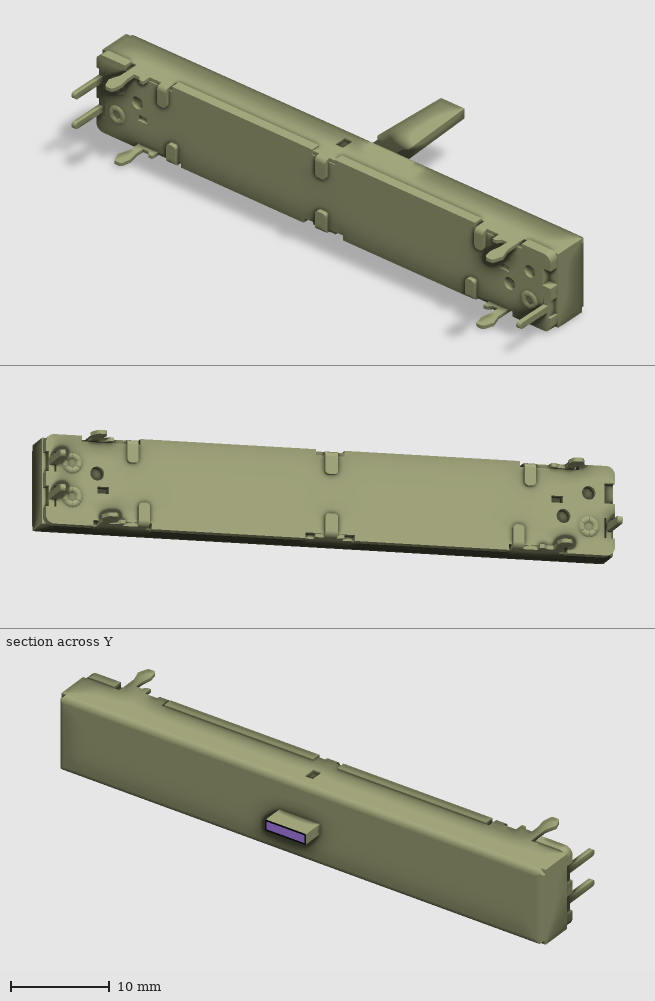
import cadquery as cq


body_length = 60.0
body_height = 8.9
body_depth = 4.5
back_edge_radius = 0.7
back_corner_cut = 0.6
sheet = 0.4
window_width = 1.0
window_back_y = -1.6
window_front_y = -3.1

board_length = 59.8
board_height = 9.3
board_thickness = 1.1
board_corner_radius = 0.9
board_front_y = -body_depth - board_thickness
wall_outer_z = body_height / 2
wall_inner_z = wall_outer_z - sheet

end_wall_start = 25.5
end_wall_length = 5.2
end_notch_start = 26.1
end_notch_end = 19.95
lower_shift = 1.2
center_wall_width = 3.0
upper_center_notch = 3.0
lower_center_notch = 5.2
wall_front_y = -5.45

end_tab_width = 1.15
center_tab_width = 1.35
tab_front_y = -6.15
tab_reach = 2.4
tab_bend_radius = 0.55
tab_tip_radius = 0.4

hook_leg_width = 0.95
hook_shoulder_width = 2.5
hook_shoulder_y = -6.5
hook_relief_y = -6.05
hook_relief_flat = 0.7
hook_relief_width = 1.1
hook_neck_y = -7.1
hook_bulge_y = -8.4
hook_bulge = 0.45
hook_inner_bulge = 0.25
hook_tip_y = -9.6
hook_tip_radius = 0.4

terminal_z = 1.8
terminal_height = 2.1
terminal_notch_inner_x = 28.8
blade_inner_x = 29.0
blade_outer_x = 29.55
pin_height = 0.74
pin_tip_y = -10.0
pin_tip_radius = 0.34
terminal_places = [(-1, 1), (-1, -1), (1, -1)]
empty_notch = (1, 1)

rivet_x = 27.15
rivet_z = 1.75
rivet_radius = 1.1
rivet_bore_radius = 0.4
rivet_rise = 0.2
petal_count = 6
petal_gap = 0.04
first_gap_angle = 30
hole_radius = 0.72
locating_hole_x = 24.5
locating_hole_z = 0.8
spare_hole_radius = 0.7
slot_x = 23.85
slot_z = 0.9
slot_width = 1.2
slot_height = 0.7

lever_tip_y = 15.0
lever_thickness = 1.2
lever_base_width = 5.0
lever_base_y = 4.0
neck_width = 3.1
neck_end_y = 5.0
barb_width = 4.1
barb_y = 5.5
lever_tip_width = 3.1


def box(x0, x1, y0, y1, z0, z1):
    """Box between two opposite corners."""
    size = (abs(x1 - x0), abs(y1 - y0), abs(z1 - z0))
    center = ((x0 + x1) / 2, (y0 + y1) / 2, (z0 + z1) / 2)
    return cq.Workplane("XY").box(*size).translate(center)


def front_cylinder(x, z, radius, back_y, front_y):
    """Cylinder along Y from back_y forward to front_y."""
    plane = cq.Workplane("XZ", origin=(x, back_y, z))
    return plane.circle(radius).extrude(back_y - front_y)


def make_housing():
    housing = (
        cq.Workplane("XZ")
        .rect(body_length, body_height)
        .extrude(body_depth)
        .faces(">Y")
        .edges()
        .fillet(back_edge_radius)
    )
    back_mask = (
        cq.Workplane("XZ")
        .rect(body_length, body_height)
        .extrude(back_edge_radius)
        .edges("|Y")
        .chamfer(back_corner_cut)
    )
    front_mask = (
        cq.Workplane("XZ", origin=(0, -back_edge_radius, 0))
        .rect(body_length, body_height)
        .extrude(body_depth - back_edge_radius)
    )
    housing = housing.intersect(back_mask.union(front_mask))
    half_window = window_width / 2
    window = box(-half_window, half_window, window_front_y, window_back_y, wall_inner_z, wall_outer_z)
    return housing.cut(window)


def make_lever():
    outline = [
        (lever_base_width / 2, 0),
        (lever_base_width / 2, lever_base_y),
        (neck_width / 2, lever_base_y),
        (neck_width / 2, neck_end_y),
        (barb_width / 2, barb_y),
        (lever_tip_width / 2, lever_tip_y),
    ]
    mirrored = [(-x, y) for x, y in reversed(outline)]
    plane = cq.Workplane("XY").workplane(offset=-lever_thickness / 2)
    return plane.polyline(outline + mirrored).close().extrude(lever_thickness)


def cut_edge_notches(board):
    half_z = board_height / 2
    for edge, center_notch, shift in ((1, upper_center_notch, 0), (-1, lower_center_notch, lower_shift)):
        spans = [(-center_notch / 2, center_notch / 2)]
        for side in (-1, 1):
            spans.append((side * (end_notch_start - shift), side * (end_notch_end - shift)))
        for x0, x1 in spans:
            notch = box(x0, x1, -body_depth, board_front_y, edge * wall_inner_z, edge * half_z)
            board = board.cut(notch)
    return board


def cut_terminal_notches(board):
    for side, level in terminal_places + [empty_notch]:
        z = level * terminal_z
        notch = box(
            side * terminal_notch_inner_x, side * board_length / 2, -body_depth, board_front_y,
            z - terminal_height / 2, z + terminal_height / 2,
        )
        board = board.cut(notch)
    return board


def cut_board_holes(board):
    holes = [
        (-locating_hole_x, locating_hole_z, hole_radius),
        (locating_hole_x, -locating_hole_z, hole_radius),
        (rivet_x, rivet_z, spare_hole_radius),
    ]
    for x, z, radius in holes:
        board = board.cut(front_cylinder(x, z, radius, -body_depth, board_front_y))
    for side in (-1, 1):
        x = side * slot_x
        z = side * slot_z
        slot = box(
            x - slot_width / 2, x + slot_width / 2, -body_depth, board_front_y,
            z - slot_height / 2, z + slot_height / 2,
        )
        board = board.cut(slot)
    return board


def make_board():
    board = (
        cq.Workplane("XZ", origin=(0, -body_depth, 0))
        .rect(board_length, board_height)
        .extrude(board_thickness)
        .edges("|Y")
        .fillet(board_corner_radius)
    )
    board = cut_edge_notches(board)
    board = cut_terminal_notches(board)
    return cut_board_holes(board)


def make_tab(x0, x1):
    """Upper tab, bent down over the front of the board."""
    lower_z = wall_outer_z - tab_reach
    arm = box(x0, x1, board_front_y, tab_front_y, lower_z, wall_outer_z)
    arm = arm.edges("|Y and <Z").fillet(tab_tip_radius)
    stem = box(x0, x1, -body_depth, board_front_y, wall_inner_z, wall_outer_z)
    return arm.union(stem).edges("|X and >Z and <Y").fillet(tab_bend_radius)


def make_hook():
    """Upper left snap hook with its shoulder."""
    outer = -end_wall_start
    leg_inner = outer + hook_leg_width
    hook = (
        cq.Workplane("XY", origin=(outer, 0, wall_inner_z))
        .moveTo(0, -body_depth)
        .lineTo(0, hook_neck_y)
        .lineTo(-hook_bulge, hook_bulge_y)
        .lineTo(0, hook_tip_y)
        .lineTo(hook_leg_width, hook_tip_y)
        .lineTo(hook_leg_width + hook_inner_bulge, hook_bulge_y)
        .lineTo(hook_leg_width, hook_neck_y)
        .lineTo(hook_leg_width, hook_relief_y)
        .lineTo(hook_leg_width + hook_relief_flat, hook_relief_y)
        .lineTo(hook_leg_width + hook_relief_width, hook_shoulder_y)
        .lineTo(hook_shoulder_width, hook_shoulder_y)
        .lineTo(hook_shoulder_width, -body_depth)
        .close()
        .extrude(sheet)
    )
    tip_corners = cq.selectors.BoxSelector(
        (outer - hook_bulge, hook_tip_y - sheet, 0),
        (leg_inner + hook_inner_bulge, hook_tip_y + sheet, board_height),
    )
    return hook.edges("|Z").edges(tip_corners).fillet(hook_tip_radius)


def make_end_wall():
    """Upper left wall with its hook and tab."""
    inner = end_wall_length - end_wall_start
    wall = box(-end_wall_start, inner, -body_depth, wall_front_y, wall_inner_z, wall_outer_z)
    return wall.union(make_hook()).union(make_tab(inner - end_tab_width, inner))


def make_walls():
    """Upper and lower walls; the lower end walls sit closer to the middle."""
    half_wall = center_wall_width / 2
    half_tab = center_tab_width / 2
    center = box(-half_wall, half_wall, -body_depth, wall_front_y, wall_inner_z, wall_outer_z)
    center = center.union(make_tab(-half_tab, half_tab))
    walls = center.union(center.mirror("XY"))
    upper = make_end_wall()
    lower = upper.mirror("XY").translate((lower_shift, 0, 0))
    for end_wall in (upper, lower):
        walls = walls.union(end_wall).union(end_wall.mirror("YZ"))
    return walls


def make_terminal(side, level):
    z = level * terminal_z
    inner_x = side * blade_inner_x
    outer_x = side * blade_outer_x
    blade = box(
        inner_x, outer_x, -body_depth, board_front_y,
        z - terminal_height / 2, z + terminal_height / 2,
    )
    pin = box(inner_x, outer_x, -body_depth, pin_tip_y, z - pin_height / 2, z + pin_height / 2)
    pin = pin.edges("|X and <Y").fillet(pin_tip_radius)
    return blade.union(pin)


def make_rivet(x, z):
    """Flared eyelet with a rounded rim, split into petals around its bore."""
    front_y = board_front_y - rivet_rise
    crest_radius = (rivet_bore_radius + rivet_radius) / 2
    head = (
        cq.Workplane("XY", origin=(0, board_front_y, 0))
        .moveTo(rivet_bore_radius, 0)
        .threePointArc((crest_radius, -rivet_rise), (rivet_radius, 0))
        .close()
        .revolve(360, (0, 0), (0, 1))
        .translate((x, 0, z))
    )
    for index in range(petal_count):
        angle = first_gap_angle + index * 360 / petal_count
        gap = box(0, rivet_radius, board_front_y, front_y, -petal_gap / 2, petal_gap / 2)
        gap = gap.rotate((0, 0, 0), (0, 1, 0), angle).translate((x, 0, z))
        head = head.cut(gap)
    return head


result = make_housing().union(make_board()).union(make_walls()).union(make_lever())
for terminal_side, terminal_level in terminal_places:
    result = result.union(make_terminal(terminal_side, terminal_level))
    result = result.union(make_rivet(terminal_side * rivet_x, terminal_level * rivet_z))